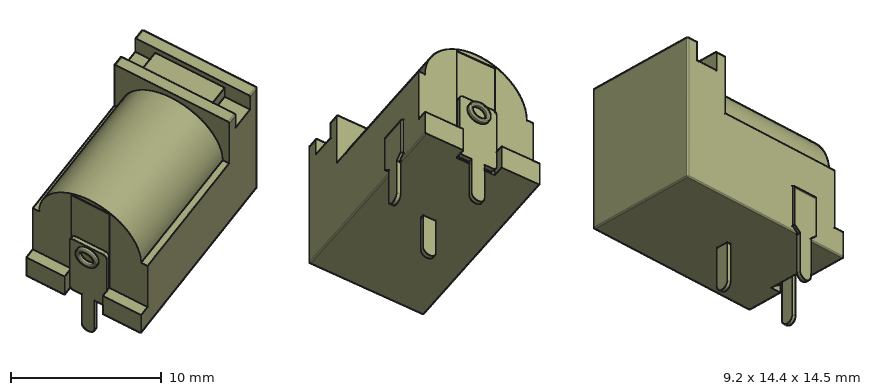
import cadquery as cq


HOUSING_WIDTH = 9.0
HOUSING_LENGTH = 14.4
HOUSING_HEIGHT = 11.0
EDGE_RADIUS = 0.1
COLLAR_LENGTH = 3.5
BARREL_RADIUS = 4.0
BARREL_AXIS_Z = 6.5
FOOT_LENGTH = 0.8
FOOT_HEIGHT = 2.0

FRONT_FLANGE = 0.8
GROOVE_LENGTH = 1.8
GROOVE_DEPTH = 1.5
BLOCK_LEFT_GAP = 1.57
BLOCK_RIGHT_GAP = 1.99

RECESS_WIDTH = 3.0
RECESS_TOP = 10.05
RECESS_DEPTH = 0.05

SHEET = 0.3
LEG_WIDTH = 1.0
LEG_DROP = 3.5
LEG_PITCH = 3.0

PLATE_WIDTH = 2.9
PLATE_BOTTOM = 0.17
PLATE_TOP = 5.7
PLATE_CORNER = 0.3
RIVET_Z = 4.7
RIVET_RADIUS = 0.85
RIVET_BORE_RADIUS = 0.55
RIVET_HEIGHT = 0.3
RIVET_RIM_ROUND = 0.1

SIDE_PLATE_WIDTH = 2.0
SIDE_PLATE_TOP = 3.6
SIDE_TAPER_HEIGHT = 0.4
SIDE_PROTRUSION = 0.2

LEFT = -HOUSING_WIDTH / 2
BODY_FRONT = FOOT_LENGTH
COLLAR_FRONT = HOUSING_LENGTH - COLLAR_LENGTH
PLATE_BACK = BODY_FRONT + RECESS_DEPTH
PLATE_FRONT = PLATE_BACK - SHEET
CENTRE_LEG_Y = PLATE_FRONT + SHEET / 2
SIDE_LEG_Y = CENTRE_LEG_Y + LEG_PITCH
REAR_LEG_Y = SIDE_LEG_Y + LEG_PITCH
SIDE_PLATE_X = LEFT - SIDE_PROTRUSION


def box(x0, x1, y0, y1, z0, z1):
    """Box between two opposite corners."""
    return cq.Workplane("XY").box(x1 - x0, y1 - y0, z1 - z0, centered=False).translate((x0, y0, z0))


def leg(y, top):
    """Sheet leg facing the front, centred on X = 0, with a half-round lower end."""
    radius = LEG_WIDTH / 2
    return (
        cq.Workplane("XZ", origin=(0, y + SHEET / 2, 0))
        .moveTo(-radius, top)
        .lineTo(-radius, radius - LEG_DROP)
        .threePointArc((0, -LEG_DROP), (radius, radius - LEG_DROP))
        .lineTo(radius, top)
        .close()
        .extrude(SHEET)
    )


def make_collar():
    """Square block at the back, grooved across its top."""
    groove_front = COLLAR_FRONT + FRONT_FLANGE
    groove_back = groove_front + GROOVE_LENGTH
    groove_floor = HOUSING_HEIGHT - GROOVE_DEPTH
    collar = box(LEFT, -LEFT, COLLAR_FRONT, HOUSING_LENGTH, 0, HOUSING_HEIGHT)
    collar = collar.edges("|Y or >Y").fillet(EDGE_RADIUS)
    groove = box(LEFT, -LEFT, groove_front, groove_back, groove_floor, HOUSING_HEIGHT)
    block = box(
        LEFT + BLOCK_LEFT_GAP,
        -LEFT - BLOCK_RIGHT_GAP,
        groove_front,
        groove_back,
        groove_floor,
        BARREL_AXIS_Z + BARREL_RADIUS,
    )
    return collar.cut(groove).union(block)


def make_barrel():
    """Body in front of the collar: a flat-sided base under a half-round barrel."""
    base = box(LEFT, -LEFT, BODY_FRONT, COLLAR_FRONT, 0, BARREL_AXIS_Z)
    feet = box(LEFT, -LEFT, 0, BODY_FRONT, 0, FOOT_HEIGHT)
    foot_gap = box(-RECESS_WIDTH / 2, RECESS_WIDTH / 2, 0, BODY_FRONT, 0, FOOT_HEIGHT)
    base = base.union(feet).edges("|Y and <Z").fillet(EDGE_RADIUS).cut(foot_gap)
    half_round = (
        cq.Workplane("XZ", origin=(0, COLLAR_FRONT, 0))
        .moveTo(-BARREL_RADIUS, BARREL_AXIS_Z)
        .threePointArc((0, BARREL_AXIS_Z + BARREL_RADIUS), (BARREL_RADIUS, BARREL_AXIS_Z))
        .close()
        .extrude(COLLAR_FRONT - BODY_FRONT)
    )
    return base.union(half_round)


def make_housing(side_contact):
    """Moulded housing, recessed for the centre contact and hollowed for the side one."""
    recess = box(-RECESS_WIDTH / 2, RECESS_WIDTH / 2, BODY_FRONT, PLATE_BACK, 0, RECESS_TOP)
    return make_collar().union(make_barrel()).cut(recess).cut(side_contact)


def make_rivet():
    """Hollow rivet head with rounded rims, standing on the plate face."""
    ring = (
        cq.Workplane("XZ", origin=(0, PLATE_FRONT, RIVET_Z))
        .circle(RIVET_RADIUS)
        .circle(RIVET_BORE_RADIUS)
        .extrude(RIVET_HEIGHT)
    )
    return ring.faces("<Y").edges().fillet(RIVET_RIM_ROUND)


def make_centre_contact():
    """Round-cornered plate with its rivet head and leg."""
    half_width = PLATE_WIDTH / 2
    plate = box(-half_width, half_width, PLATE_FRONT, PLATE_BACK, PLATE_BOTTOM, PLATE_TOP)
    plate = plate.edges("|Y").fillet(PLATE_CORNER)
    return plate.union(leg(CENTRE_LEG_Y, PLATE_BOTTOM + SHEET)).union(make_rivet())


def make_side_plate():
    """Outer plate of the side contact, tapering down to a round-ended leg."""
    half_plate = SIDE_PLATE_WIDTH / 2
    half_leg = LEG_WIDTH / 2
    return (
        cq.Workplane("YZ", origin=(SIDE_PLATE_X, SIDE_LEG_Y, 0))
        .moveTo(-half_plate, SIDE_PLATE_TOP)
        .lineTo(-half_plate, SIDE_TAPER_HEIGHT)
        .lineTo(-half_leg, 0)
        .lineTo(-half_leg, half_leg - LEG_DROP)
        .threePointArc((0, -LEG_DROP), (half_leg, half_leg - LEG_DROP))
        .lineTo(half_leg, 0)
        .lineTo(half_plate, SIDE_TAPER_HEIGHT)
        .lineTo(half_plate, SIDE_PLATE_TOP)
        .close()
        .extrude(SHEET)
    )


def make_side_contact():
    """Side plate bent over at its top into a strap that runs to the rear leg."""
    half_plate = SIDE_PLATE_WIDTH / 2
    half_leg = LEG_WIDTH / 2
    strap_bottom = SIDE_PLATE_TOP - SHEET
    strap_front = SIDE_LEG_Y - half_plate
    strap_back = SIDE_LEG_Y + half_plate
    rear_leg_back = REAR_LEG_Y + SHEET / 2
    strap = box(SIDE_PLATE_X, half_leg, strap_front, strap_back, strap_bottom, SIDE_PLATE_TOP)
    bent_plate = make_side_plate().union(strap).edges("|Y and >Z and <X").fillet(SHEET)
    arm = box(-half_leg, half_leg, strap_front, rear_leg_back, strap_bottom, SIDE_PLATE_TOP)
    return bent_plate.union(arm).union(leg(REAR_LEG_Y, SIDE_PLATE_TOP))


side_contact = make_side_contact()
centre_contact = make_centre_contact()
housing = make_housing(side_contact)

result = cq.Compound.makeCompound([housing.val(), centre_contact.val(), side_contact.val()])